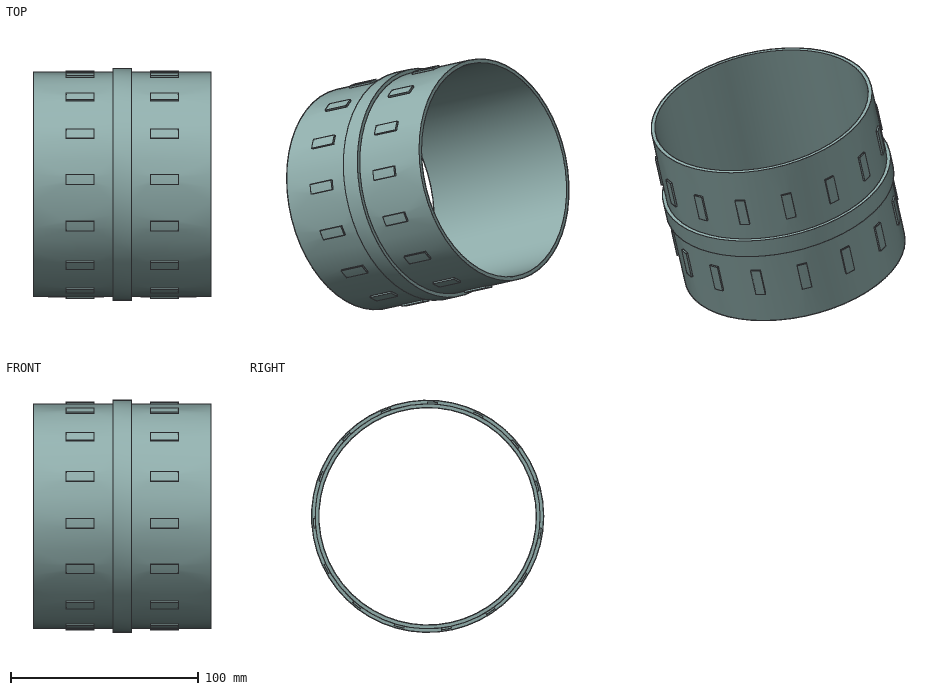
import cadquery as cq

sleeve_length = 95.0
bore_diameter = 116.0
sleeve_diameter = 120.0
collar_diameter = 124.0
collar_width = 10.0

pad_diameter = 122.0
pad_length = 15.0
pad_angle = 5.0
pad_gap = 30.0
pads_per_ring = 15
pad_embed = 0.6
pad_pitch = 360 / pads_per_ring


def cylinder(diameter, length):
    """Solid cylinder on the X axis, centred on the origin."""
    return cq.Workplane("YZ", origin=(-length / 2, 0, 0)).circle(diameter / 2).extrude(length)


def pad(x_start, start_angle):
    """Curved pad on the sleeve; angles are measured from +Z toward +Y."""
    inner_radius = sleeve_diameter / 2 - pad_embed
    height = pad_diameter / 2 - inner_radius
    profile = cq.Workplane("XZ").moveTo(x_start, inner_radius).rect(pad_length, height, centered=False)
    sector = profile.revolve(pad_angle, (0, 0, 0), (-1, 0, 0))
    return sector.rotate((0, 0, 0), (-1, 0, 0), start_angle)


body = cylinder(sleeve_diameter, sleeve_length).union(cylinder(collar_diameter, collar_width))

for ring_start in (pad_gap / 2, -pad_gap / 2 - pad_length):
    for index in range(pads_per_ring):
        body = body.union(pad(ring_start, index * pad_pitch))

result = body.cut(cylinder(bore_diameter, sleeve_length))